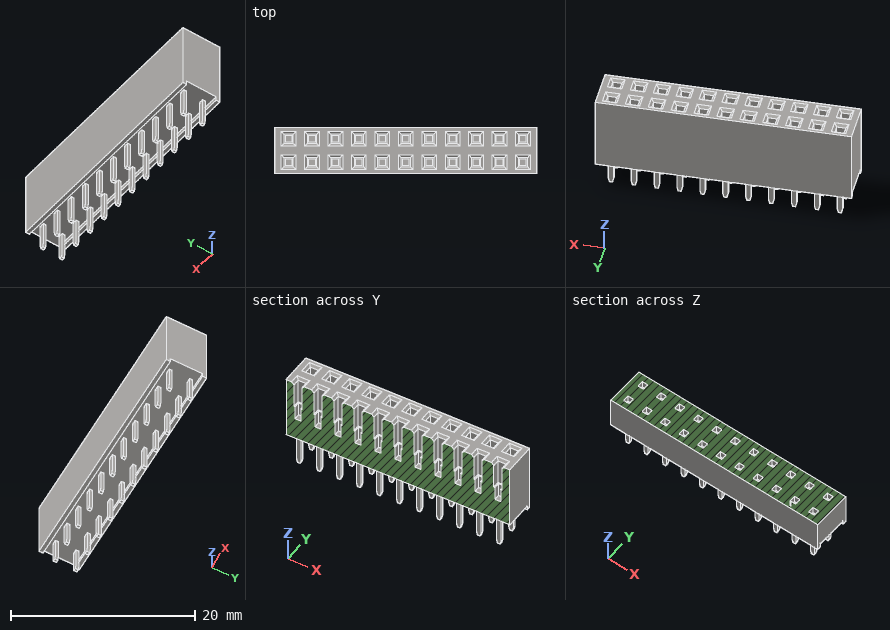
import cadquery as cq


LENGTH = 28.45
WIDTH = 5.0
HEIGHT = 8.5
FOOT_WIDTH = 0.5
FOOT_HEIGHT = 0.5

COLUMNS = 11
ROWS = 2
COLUMN_SPAN = 25.4
PITCH = COLUMN_SPAN / (COLUMNS - 1)

MOUTH_SIDE = 1.6
HOLE_SIDE = 1.0
RECESS_SIDE = 0.7
LEAD_IN_DEPTH = 0.3
HOLE_DEPTH = 3.4
RECESS_DEPTH = 1.7

PIN_WIDTH = 0.6
PIN_THICKNESS = 0.37
PIN_LENGTH = 3.0
TIP_WIDTH = 0.35
TIP_LENGTH = 0.48


def make_housing():
    """Block with a channel along its underside that leaves a foot on each long edge."""
    block = cq.Workplane("XY").box(LENGTH, WIDTH, HEIGHT, centered=(True, True, False))
    channel_width = WIDTH - 2 * FOOT_WIDTH
    channel = cq.Workplane("XY").box(LENGTH, channel_width, FOOT_HEIGHT, centered=(True, True, False))
    return block.cut(channel)


def make_socket():
    """Cutting body for one socket, centred on the Z axis and open at the housing top."""
    lead_in = (
        cq.Workplane("XY", origin=(0, 0, HEIGHT))
        .rect(MOUTH_SIDE, MOUTH_SIDE)
        .workplane(offset=-LEAD_IN_DEPTH)
        .rect(HOLE_SIDE, HOLE_SIDE)
        .loft(ruled=True)
    )
    hole = (
        cq.Workplane("XY", origin=(0, 0, HEIGHT - LEAD_IN_DEPTH))
        .rect(HOLE_SIDE, HOLE_SIDE)
        .extrude(LEAD_IN_DEPTH - HOLE_DEPTH)
    )
    recess = (
        cq.Workplane("XY", origin=(0, 0, HEIGHT - HOLE_DEPTH))
        .rect(RECESS_SIDE, RECESS_SIDE)
        .extrude(-RECESS_DEPTH)
    )
    return lead_in.union(hole).union(recess)


def make_pin():
    """One pin, centred on the Z axis, hanging from the channel ceiling."""
    half_width = PIN_WIDTH / 2
    half_tip = TIP_WIDTH / 2
    taper_start = TIP_LENGTH - PIN_LENGTH
    outline = [
        (-half_width, FOOT_HEIGHT),
        (-half_width, taper_start),
        (-half_tip, -PIN_LENGTH),
        (half_tip, -PIN_LENGTH),
        (half_width, taper_start),
        (half_width, FOOT_HEIGHT),
    ]
    return cq.Workplane("XZ").polyline(outline).close().extrude(PIN_THICKNESS / 2, both=True)


def repeat_on_grid(body):
    """Copies of a body at every position of the contact grid."""
    grid = cq.Workplane("XY").rarray(PITCH, PITCH, COLUMNS, ROWS)
    return grid.eachpoint(lambda location: body.val().moved(location))


result = make_housing().cut(repeat_on_grid(make_socket())).union(repeat_on_grid(make_pin()))